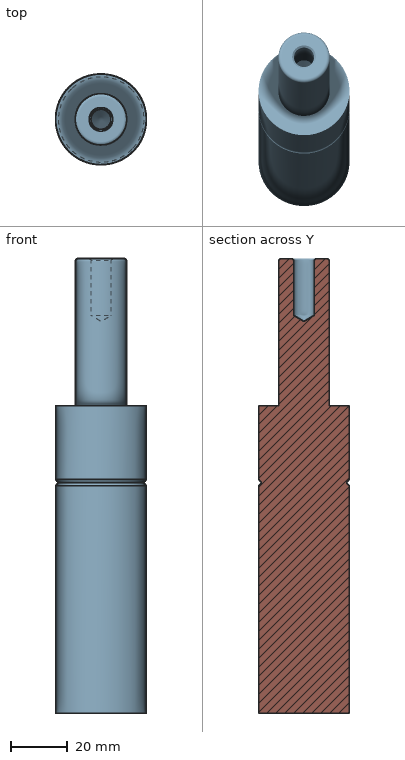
import cadquery as cq
import math

total_length = 160.0
body_diameter = 32.0
body_top = 108.2

groove_center = 81.1
groove_width = 2.2
groove_depth = 1.0

rod_diameter = 18.0
rod_edge_radius = 1.1
hole_diameter = 7.0
hole_depth = 20.0
hole_mouth_diameter = 8.3
drill_point_angle = 118.0


def make_shaft():
    """Revolve the stepped outline, including the groove and the rounded rod end."""
    body_radius = body_diameter / 2
    rod_radius = rod_diameter / 2
    groove_bottom = groove_center - groove_width / 2
    groove_top = groove_center + groove_width / 2
    round_start = total_length - rod_edge_radius
    round_center_x = rod_radius - rod_edge_radius
    rod_arc_offset = rod_edge_radius * math.sqrt(0.5)
    outline = (
        cq.Workplane("XZ")
        .lineTo(body_radius, 0)
        .lineTo(body_radius, groove_bottom)
        .lineTo(body_radius - groove_depth, groove_center)
        .lineTo(body_radius, groove_top)
        .lineTo(body_radius, body_top)
        .lineTo(rod_radius, body_top)
        .lineTo(rod_radius, round_start)
        .threePointArc(
            (round_center_x + rod_arc_offset, round_start + rod_arc_offset),
            (round_center_x, total_length),
        )
        .lineTo(0, total_length)
        .close()
    )
    return outline.revolve(360, (0, 0), (0, 1))


def make_hole():
    """Blind hole with a 45 degree countersunk mouth and a conical drill point."""
    hole_radius = hole_diameter / 2
    mouth_radius = hole_mouth_diameter / 2
    mouth_depth = mouth_radius - hole_radius
    point_depth = hole_radius / math.tan(math.radians(drill_point_angle / 2))
    hole_bottom = total_length - hole_depth
    outline = [
        (0, hole_bottom - point_depth),
        (hole_radius, hole_bottom),
        (hole_radius, total_length - mouth_depth),
        (mouth_radius, total_length),
        (0, total_length),
    ]
    return cq.Workplane("XZ").polyline(outline).close().revolve(360, (0, 0), (0, 1))


result = make_shaft().cut(make_hole())